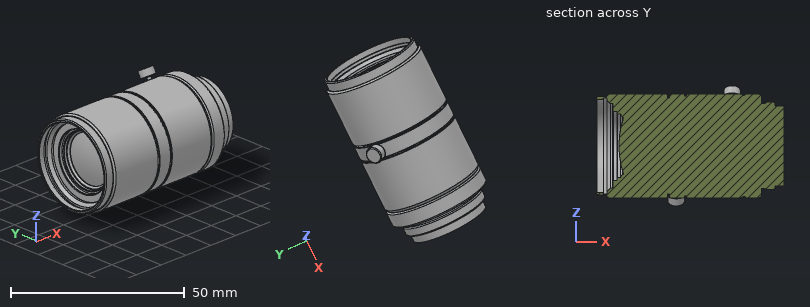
import cadquery as cq
import math


total_length = 54.0
barrel_radius = 15.0
front_ring_radius = 14.25
front_ring_chamfer = 0.3
barrel_start = 2.85
barrel_chamfer = 0.55

wide_groove_start = 20.5
wide_groove_width = 0.45
wide_groove_radius = 13.9
narrow_groove_start = 25.5
narrow_groove_width = 0.45
narrow_groove_radius = 14.45
groove_edge_chamfer = 0.15
narrow_groove_rear_chamfer = 0.1

taper_start = 41.65
taper_end = 42.45
rear_groove_radius = 14.6
rear_ring_start = 42.5
rear_ring_end = 47.5
rear_ring_chamfer = 0.55
rear_ring_front_chamfer = barrel_radius - rear_groove_radius

neck_radius = 12.3
flange_radius = 12.7
flange_start = 48.5
flange_end = 51.45
flange_front_chamfer = flange_radius - neck_radius
flange_rear_chamfer = 0.4
mount_radius = 11.55

mouth_radius = 13.3
mouth_chamfer = 0.2
mouth_lip_end = 2.05
undercut_radius = 13.7
undercut_end = 3.0
funnel_radius = 13.05
well_radius = 12.1
funnel_end = undercut_end + funnel_radius - well_radius
well_depth = 4.7

retainer_radius = 9.85
retainer_chamfer = 0.2
retainer_depth = 5.9
lens_seat_radius = 9.05
lens_seat_chamfer = 0.2
lens_seat_depth = 6.95
lens_cone_radius = 8.75
lens_radius = 8.15
lens_cone_end = lens_seat_depth + lens_cone_radius - lens_radius
lens_rim_length = 0.15
lens_edge_depth = lens_cone_end + lens_rim_length
lens_bulge = 1.3

screw_tilt = 30.0
focus_screw_x = 22.95
iris_screw_x = 39.05
screw_head_radius = 2.5
screw_head_chamfer = 0.25
screw_head_bottom = 15.9
screw_head_top = 18.8
screw_stem_radius = 0.7
screw_stem_root = 14.05


def revolve_about_x(profile):
    """Revolve a closed (x, radius) profile fully around the X axis."""
    return profile.close().revolve(360, (0, 0, 0), (1, 0, 0))


def make_body():
    edge = groove_edge_chamfer
    wide_groove_end = wide_groove_start + wide_groove_width
    narrow_groove_end = narrow_groove_start + narrow_groove_width
    outline = [
        (0, 0),
        (0, front_ring_radius - front_ring_chamfer),
        (front_ring_chamfer, front_ring_radius),
        (barrel_start, front_ring_radius),
        (barrel_start, barrel_radius - barrel_chamfer),
        (barrel_start + barrel_chamfer, barrel_radius),
        (wide_groove_start - edge, barrel_radius),
        (wide_groove_start, barrel_radius - edge),
        (wide_groove_start, wide_groove_radius),
        (wide_groove_end, wide_groove_radius),
        (wide_groove_end, barrel_radius - edge),
        (wide_groove_end + edge, barrel_radius),
        (narrow_groove_start - edge, barrel_radius),
        (narrow_groove_start, barrel_radius - edge),
        (narrow_groove_start, narrow_groove_radius),
        (narrow_groove_end, narrow_groove_radius),
        (narrow_groove_end, barrel_radius - narrow_groove_rear_chamfer),
        (narrow_groove_end + narrow_groove_rear_chamfer, barrel_radius),
        (taper_start, barrel_radius),
        (taper_end, rear_groove_radius),
        (rear_ring_start, rear_groove_radius),
        (rear_ring_start + rear_ring_front_chamfer, barrel_radius),
        (rear_ring_end - rear_ring_chamfer, barrel_radius),
        (rear_ring_end, barrel_radius - rear_ring_chamfer),
        (rear_ring_end, neck_radius),
        (flange_start, neck_radius),
        (flange_start + flange_front_chamfer, flange_radius),
        (flange_end - flange_rear_chamfer, flange_radius),
        (flange_end, flange_radius - flange_rear_chamfer),
        (flange_end, mount_radius),
        (total_length, mount_radius),
        (total_length, 0),
    ]
    return revolve_about_x(cq.Workplane("XY").polyline(outline))


def make_front_opening():
    """Stepped opening whose floor is the convex face of the front lens."""
    steps = [
        (0, 0),
        (0, mouth_radius + mouth_chamfer),
        (mouth_chamfer, mouth_radius),
        (mouth_lip_end, mouth_radius),
        (mouth_lip_end, undercut_radius),
        (undercut_end, undercut_radius),
        (undercut_end, funnel_radius),
        (funnel_end, well_radius),
        (well_depth, well_radius),
        (well_depth, retainer_radius + retainer_chamfer),
        (well_depth + retainer_chamfer, retainer_radius),
        (retainer_depth, retainer_radius),
        (retainer_depth, lens_seat_radius + lens_seat_chamfer),
        (retainer_depth + lens_seat_chamfer, lens_seat_radius),
        (lens_seat_depth, lens_seat_radius),
        (lens_seat_depth, lens_cone_radius),
        (lens_cone_end, lens_radius),
        (lens_edge_depth, lens_radius),
    ]
    lens_sphere_radius = (lens_radius**2 + lens_bulge**2) / (2 * lens_bulge)
    lens_tip = lens_edge_depth - lens_bulge
    mid_radius = lens_radius / 2
    mid_drop = lens_sphere_radius - math.sqrt(lens_sphere_radius**2 - mid_radius**2)
    profile = cq.Workplane("XY").polyline(steps)
    profile = profile.threePointArc((lens_tip + mid_drop, mid_radius), (lens_tip, 0))
    return revolve_about_x(profile)


def make_screw(x, side):
    """Locking screw at station x, leaning toward +Y; side is +1 for up, -1 for down."""
    stem = (
        cq.Workplane("XY")
        .workplane(offset=screw_stem_root)
        .circle(screw_stem_radius)
        .extrude(screw_head_bottom - screw_stem_root)
    )
    head = (
        cq.Workplane("XY")
        .workplane(offset=screw_head_bottom)
        .circle(screw_head_radius)
        .extrude(screw_head_top - screw_head_bottom)
        .edges()
        .chamfer(screw_head_chamfer)
    )
    screw = stem.union(head).rotate((0, 0, 0), (1, 0, 0), -screw_tilt)
    if side < 0:
        screw = screw.mirror("XY")
    return screw.translate((x, 0, 0))


result = make_body().cut(make_front_opening())
result = result.union(make_screw(iris_screw_x, 1))
result = result.union(make_screw(focus_screw_x, -1))